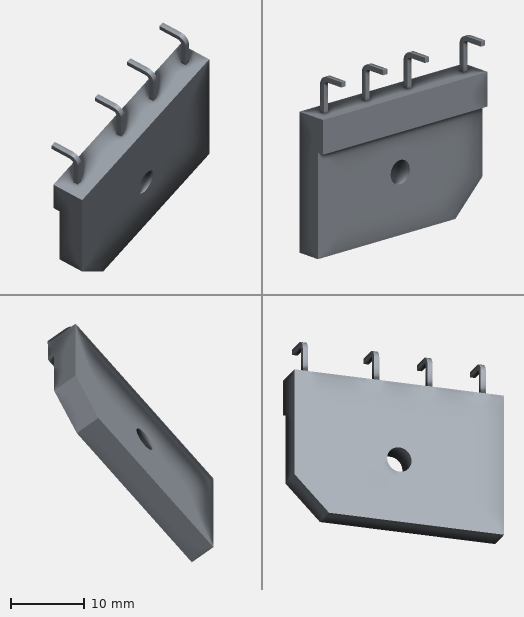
import cadquery as cq

body_length = 30.3
body_height = 20.3
body_depth = 4.8
band_height = 5.0
band_step = 1.03
corner_cut = 5.0

hole_diameter = 3.5
hole_below_top = 11.25

lead_thickness = 0.75
lead_rise = 5.4
lead_overhang = 1.6
lead_back_inset = 2.05
bend_outer_radius = 1.4
first_lead_inset = 2.3
lead_pitch = 7.7
even_lead_count = 3
last_lead_gap = 10.3

total_height = body_height + lead_rise


def make_body():
    profile = [
        (band_step, 0),
        (body_depth, 0),
        (body_depth, body_height),
        (0, body_height),
        (0, body_height - band_height),
        (band_step, body_height - band_height),
    ]
    body = cq.Workplane("XZ").polyline(profile).close().extrude(-body_length)
    corner = (
        cq.Workplane("YZ")
        .polyline([(0, 0), (corner_cut, 0), (0, corner_cut)])
        .close()
        .extrude(body_depth)
    )
    hole = (
        cq.Workplane("YZ")
        .center(body_length / 2, body_height - hole_below_top)
        .circle(hole_diameter / 2)
        .extrude(body_depth)
    )
    return body.cut(corner).cut(hole)


def make_lead(center_y):
    back_x = body_depth - lead_back_inset
    front_x = back_x - lead_thickness
    bend_inner_radius = bend_outer_radius - lead_thickness
    bend_x = back_x - bend_outer_radius
    bend_z = total_height - bend_outer_radius
    underside_z = total_height - lead_thickness
    return (
        cq.Workplane("XZ", origin=(0, center_y - lead_thickness / 2, 0))
        .moveTo(front_x, body_height)
        .lineTo(back_x, body_height)
        .lineTo(back_x, bend_z)
        .radiusArc((bend_x, total_height), -bend_outer_radius)
        .lineTo(-lead_overhang, total_height)
        .lineTo(-lead_overhang, underside_z)
        .lineTo(bend_x, underside_z)
        .radiusArc((front_x, bend_z), bend_inner_radius)
        .close()
        .extrude(-lead_thickness)
    )


first_lead_y = body_length - first_lead_inset
lead_positions = [first_lead_y - i * lead_pitch for i in range(even_lead_count)]
lead_positions.append(lead_positions[-1] - last_lead_gap)

result = make_body()
for lead_y in lead_positions:
    result = result.union(make_lead(lead_y))